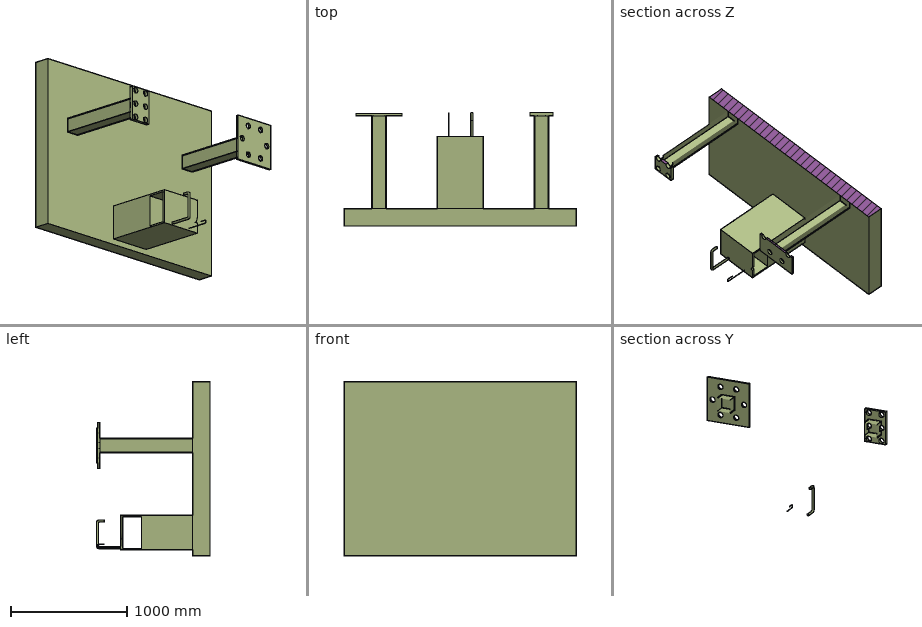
import cadquery as cq
import math

PANEL_LENGTH = 2000.0
PANEL_THICKNESS = 150.0
PANEL_HEIGHT = 1500.0

ARM_OFFSET = 700.0
ARM_HEIGHT = 950.0
ARM_WIDTH = 125.0
ARM_WALL = 5.0
ARM_LENGTH = 800.0
ARM_END = PANEL_THICKNESS + ARM_LENGTH

SQUARE_PLATE_SIDE = 400.0
SQUARE_PLATE_THICKNESS = 20.0
NARROW_PLATE_WIDTH = 200.0
NARROW_PLATE_HEIGHT = 300.0
NARROW_PLATE_THICKNESS = 30.0
BOLT_HOLE_DIAMETER = 48.0
BOLT_CIRCLE_RADIUS = 150.0
BOLT_COUNT = 6
BOLT_COLUMN_OFFSET = 60.0
BOLT_ROW_PITCH = 120.0
BOLT_RELIEF = 30.0

BOX_WIDTH = 400.0
BOX_HEIGHT = 300.0
BOX_BOTTOM = 50.0
BOX_DEPTH = 622.0
BOX_BACK = PANEL_THICKNESS + BOX_DEPTH
BOX_BACK_WALL = 20.0
WINDOW_DEPTH = 160.0
WINDOW_SHELF = 15.0

NOTCH_FLOOR_RADIUS = 88.0
NOTCH_ARC_ANGLE = math.radians(40.0)

HOOK_OFFSET = 100.0
HOOK_BOTTOM = 70.0
ROD_DIAMETER = 20.0
ROD_REACH = 970.0
ROD_RISE = 230.0
ROD_TIP = 910.0
ROD_BEND_RADIUS = 15.0
WIRE_DIAMETER = 3.0
WIRE_REACH = 975.0
WIRE_RISE = 28.0
WIRE_TIP = 915.0
WIRE_BEND_RADIUS = 12.0


def block(width, depth, height, x, y, z):
    """Block centred on x and z whose front face is at y."""
    return cq.Workplane("XY").box(width, depth, height).translate((x, y + depth / 2, z))


def arm(x):
    """Square tube from the panel's back face to the plate."""
    outside = block(ARM_WIDTH, ARM_LENGTH, ARM_WIDTH, x, PANEL_THICKNESS, ARM_HEIGHT)
    bore_width = ARM_WIDTH - 2 * ARM_WALL
    bore = block(bore_width, ARM_LENGTH, bore_width, x, PANEL_THICKNESS, ARM_HEIGHT)
    return outside.cut(bore)


def bolt_holes(points, x, start, depth):
    """Cutters along +Y at points given relative to the arm's axis."""
    plane = cq.Plane(origin=(x, start, ARM_HEIGHT), xDir=(1, 0, 0), normal=(0, -1, 0))
    return cq.Workplane(plane).pushPoints(points).circle(BOLT_HOLE_DIAMETER / 2).extrude(-depth)


def square_bracket(x):
    """Arm with a square plate and a ring of bolt holes."""
    plate = block(SQUARE_PLATE_SIDE, SQUARE_PLATE_THICKNESS, SQUARE_PLATE_SIDE, x, ARM_END, ARM_HEIGHT)
    angles = [2 * math.pi * i / BOLT_COUNT for i in range(BOLT_COUNT)]
    ring = [(BOLT_CIRCLE_RADIUS * math.cos(a), BOLT_CIRCLE_RADIUS * math.sin(a)) for a in angles]
    holes = bolt_holes(ring, x, ARM_END, SQUARE_PLATE_THICKNESS)
    return arm(x).union(plate.cut(holes))


def narrow_bracket(x):
    """Arm with a narrow plate and two columns of bolt holes; the middle holes also cut the arm."""
    plate = block(
        NARROW_PLATE_WIDTH, NARROW_PLATE_THICKNESS, NARROW_PLATE_HEIGHT, x, ARM_END, ARM_HEIGHT
    )
    columns = (-BOLT_COLUMN_OFFSET, BOLT_COLUMN_OFFSET)
    rows = (-BOLT_ROW_PITCH, 0, BOLT_ROW_PITCH)
    grid = [(column, row) for column in columns for row in rows]
    holes = bolt_holes(grid, x, ARM_END - BOLT_RELIEF, NARROW_PLATE_THICKNESS + BOLT_RELIEF)
    return arm(x).union(plate).cut(holes)


def back_box():
    """Box with the window through it and the notch in its back wall."""
    middle = BOX_BOTTOM + BOX_HEIGHT / 2
    body = block(BOX_WIDTH, BOX_DEPTH, BOX_HEIGHT, 0, PANEL_THICKNESS, middle)
    window_start = BOX_BACK - BOX_BACK_WALL - WINDOW_DEPTH
    window = block(
        BOX_WIDTH, WINDOW_DEPTH, BOX_HEIGHT - 2 * WINDOW_SHELF, 0, window_start, middle
    )
    return body.cut(window).cut(wall_notch(-BOX_WIDTH / 2, middle))


def wall_notch(x, z):
    """Cutter whose floor is an arc that starts tangent to the box's end face."""

    def floor_point(angle):
        return (
            x + NOTCH_FLOOR_RADIUS * (1 - math.cos(angle)),
            z - NOTCH_FLOOR_RADIUS * math.sin(angle),
        )

    end = floor_point(NOTCH_ARC_ANGLE)
    return (
        cq.Workplane("XZ", origin=(0, BOX_BACK, 0))
        .moveTo(x, z)
        .threePointArc(floor_point(NOTCH_ARC_ANGLE / 2), end)
        .lineTo(x, end[1])
        .close()
        .extrude(BOX_BACK_WALL)
    )


def hook(x, diameter, reach, rise, tip, bend):
    """Round bar that runs back from the box, turns up and returns towards it."""
    low = HOOK_BOTTOM
    high = low + rise
    short = bend * (1 - math.sqrt(0.5))
    path = (
        cq.Workplane("YZ", origin=(x, 0, 0))
        .moveTo(BOX_BACK, low)
        .lineTo(reach - bend, low)
        .threePointArc((reach - short, low + short), (reach, low + bend))
        .lineTo(reach, high - bend)
        .threePointArc((reach - short, high - short), (reach - bend, high))
        .lineTo(tip, high)
    )
    start = cq.Plane(origin=(x, BOX_BACK, low), xDir=(1, 0, 0), normal=(0, 1, 0))
    return cq.Workplane(start).circle(diameter / 2).sweep(path)


panel = block(PANEL_LENGTH, PANEL_THICKNESS, PANEL_HEIGHT, 0, 0, PANEL_HEIGHT / 2)
sign = panel.union(square_bracket(-ARM_OFFSET)).union(narrow_bracket(ARM_OFFSET))

rod_hook = hook(HOOK_OFFSET, ROD_DIAMETER, ROD_REACH, ROD_RISE, ROD_TIP, ROD_BEND_RADIUS)
wire_hook = hook(-HOOK_OFFSET, WIRE_DIAMETER, WIRE_REACH, WIRE_RISE, WIRE_TIP, WIRE_BEND_RADIUS)
box = back_box().union(rod_hook).union(wire_hook)

result = cq.Compound.makeCompound([sign.val(), box.val()])